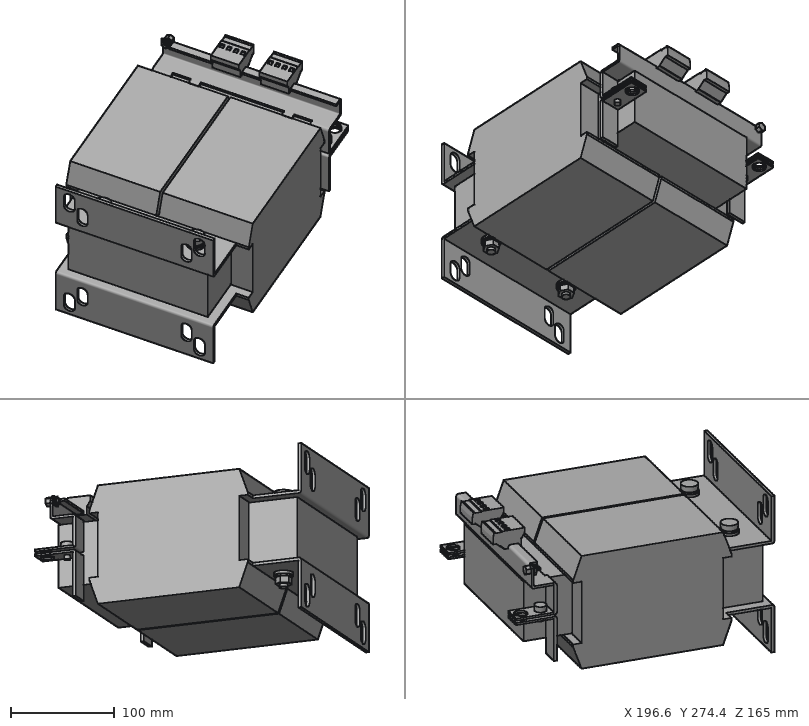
import cadquery as cq

core_half_width = 75.0
core_half_height = 31.5
core_front = -129.0
core_back = 121.0
window_front = -78.5
window_back = 71.5
window_half_width = 25.8

coil_outer_x = 98.3
coil_gap = 2.7
coil_half_height = 59.5
coil_front = -78.0
coil_back = 70.0
coil_overhang = 8.8
lip_bottom = 32.5
lip_thickness = 3.0

overall_height = 165.0
angle_half_width = 84.8
angle_front = -137.2
angle_thickness = 3.3
angle_top = overall_height / 2
angle_bend_radius = 2.7
outer_slot_x = 70.0
outer_slot_z = 66.7
outer_slot_width = 11.8
inner_slot_x = 56.0
inner_slot_z = 53.3
inner_slot_width = 11.3
slot_length = 22.8

bolt_x = 50.2
bolt_y = -104.3
bolt_washer_diameter = 19.0
bolt_washer_thickness = 2.7
bolt_head_diameter = 17.0
bolt_head_height = 6.0
spring_washer_diameter = 16.5
spring_washer_thickness = 2.0
bolt_nut_across_corners = 16.2
bolt_nut_height = 6.5
bolt_diameter = 8.2
bolt_end_z = -50.0

rear_half_width = 95.3
foot_x = (core_half_width + rear_half_width) / 2
rear_back = 137.2
tab_thickness = 2.2
tab_gap_half = 1.24
wall_front = 94.5
wall_thickness = 3.3
lower_wall_bottom = -48.0
tab_hole_y = 128.2
tab_hole_diameter = 13.2
shelf_bottom = 32.0
shelf_thickness = 2.5
shelf_top = shelf_bottom + shelf_thickness
shelf_middle_front = 99.0
shelf_bend_radius = 3.3
rear_bend_radius = 2.2
stub_width = 11.0
stub_front = 95.0

tab_screw_y = 107.5
tab_screw_diameter = 6.0
tab_screw_end_z = -7.5
tab_screw_head_diameter = 12.0
tab_screw_head_height = 5.8

rail_top = 54.5
rail_thickness = 2.5
rail_flange_front = 110.5
rail_flange_left = -84.5
rail_bend_radius = 3.0
rail_root_radius = 1.5

earth_x = -90.9
earth_z = 50.8
earth_head_across_flats = 8.0
earth_head_height = 5.2
earth_clamp_width = 11.3
earth_clamp_thickness = 1.6
earth_nut_thickness = 1.6
earth_screw_diameter = 4.5
earth_screw_end_y = 113.0

terminal_width = 15.0
terminal_pair_starts = (-36.5, 15.6)
terminals_per_pair = 2
pockets_per_terminal = 2
terminal_pocket_y = 120.8
terminal_pocket_length = 4.7
terminal_pocket_width = 3.5
terminal_pocket_spacing = 7.5
terminal_pocket_depth = 1.5
terminal_top = 70.0
terminal_profile = [
    (104.0, terminal_top),
    (127.5, terminal_top),
    (127.6, 69.2),
    (134.0, 69.2),
    (136.0, terminal_top),
    (137.0, 64.2),
    (137.0, 57.6),
    (133.5, 57.6),
    (125.5, 51.3),
    (125.5, 50.8),
    (107.3, 50.8),
    (107.3, 59.0),
    (104.0, 64.2),
]


def block(x_range, y_range, z_range):
    """Box between the given limits along each axis."""
    (x0, x1), (y0, y1), (z0, z1) = x_range, y_range, z_range
    return cq.Workplane("XY").box(x1 - x0, y1 - y0, z1 - z0, centered=False).translate((x0, y0, z0))


def extrude_along_x(points, x_start, x_end):
    """Prism along X from a closed (Y, Z) outline."""
    return cq.Workplane("YZ").workplane(offset=x_start).polyline(points).close().extrude(x_end - x_start)


def cylinder_z(x, y, z_start, z_end, diameter):
    """Upright cylinder between two heights."""
    return cq.Workplane("XY", origin=(x, y, z_start)).circle(diameter / 2).extrude(z_end - z_start)


def both_sides(half):
    """A shape together with its mirror image across the X = 0 plane."""
    return half.union(half.mirror("YZ"))


def make_core():
    z_range = (-core_half_height, core_half_height)
    frame = block((-core_half_width, core_half_width), (core_front, core_back), z_range)
    window = block((-window_half_width, window_half_width), (window_front, window_back), z_range)
    return frame.cut(window)


def make_coils():
    lip_top = lip_bottom + lip_thickness
    upper_edge = [
        (coil_back, lip_bottom),
        (coil_back + coil_overhang, lip_bottom),
        (coil_back + coil_overhang, lip_top),
        (coil_back, coil_half_height),
        (coil_front, coil_half_height),
        (coil_front - coil_overhang, lip_top),
        (coil_front - coil_overhang, lip_bottom),
        (coil_front, lip_bottom),
    ]
    lower_edge = [(y, -z) for y, z in reversed(upper_edge)]
    return both_sides(extrude_along_x(upper_edge + lower_edge, coil_gap / 2, coil_outer_x))


def make_front_angles():
    ledge_top = lip_bottom + lip_thickness
    ledge_back = coil_front - coil_overhang
    flange_back = angle_front + angle_thickness
    outline = [
        (ledge_back, lip_bottom),
        (angle_front, lip_bottom),
        (angle_front, angle_top),
        (flange_back, angle_top),
        (flange_back, ledge_top),
        (ledge_back, ledge_top),
    ]
    angle = extrude_along_x(outline, -angle_half_width, angle_half_width)
    bend = cq.selectors.NearestToPointSelector((0, angle_front, lip_bottom))
    angle = angle.edges(bend).fillet(angle_bend_radius)
    slots = (
        (outer_slot_x, outer_slot_z, outer_slot_width),
        (inner_slot_x, inner_slot_z, inner_slot_width),
    )
    for x, z, width in slots:
        cutter = (
            cq.Workplane("XZ", origin=(0, flange_back, 0))
            .pushPoints([(-x, z), (x, z)])
            .slot2D(slot_length, width, 90)
            .extrude(angle_thickness)
        )
        angle = angle.cut(cutter)
    return angle.union(angle.mirror("XY"))


def make_core_bolt():
    seat = lip_bottom + lip_thickness
    washer_top = seat + bolt_washer_thickness
    head_base = washer_top + spring_washer_thickness
    head_top = head_base + bolt_head_height
    spring_top = -seat - bolt_washer_thickness
    nut_top = spring_top - spring_washer_thickness
    bolt = cylinder_z(bolt_x, bolt_y, bolt_end_z, head_top, bolt_diameter)
    bolt = bolt.union(cylinder_z(bolt_x, bolt_y, seat, washer_top, bolt_washer_diameter))
    bolt = bolt.union(cylinder_z(bolt_x, bolt_y, washer_top, head_base, spring_washer_diameter))
    bolt = bolt.union(cylinder_z(bolt_x, bolt_y, head_base, head_top, bolt_head_diameter))
    bolt = bolt.union(cylinder_z(bolt_x, bolt_y, spring_top, -seat, bolt_washer_diameter))
    bolt = bolt.union(cylinder_z(bolt_x, bolt_y, nut_top, spring_top, spring_washer_diameter))
    nut = (
        cq.Workplane("XY", origin=(bolt_x, bolt_y, nut_top))
        .polygon(6, bolt_nut_across_corners)
        .extrude(-bolt_nut_height)
    )
    return bolt.union(nut)


def make_rear_foot(wall_end_z):
    """Tab and wall beside the core at +X; the wall runs from the tab to wall_end_z."""
    side = 1 if wall_end_z > 0 else -1
    tab_near = side * tab_gap_half
    tab_far = side * (tab_gap_half + tab_thickness)
    wall_back = wall_front + wall_thickness
    outline = [
        (rear_back, tab_near),
        (wall_front, tab_near),
        (wall_front, wall_end_z),
        (wall_back, wall_end_z),
        (wall_back, tab_far),
        (rear_back, tab_far),
    ]
    foot = extrude_along_x(outline, core_half_width, rear_half_width)
    bend = cq.selectors.NearestToPointSelector((foot_x, wall_front, tab_near))
    foot = foot.edges(bend).fillet(rear_bend_radius)
    hole = cylinder_z(foot_x, tab_hole_y, tab_near, tab_far, tab_hole_diameter)
    return foot.cut(hole)


def make_tab_screw():
    head_base = tab_gap_half + tab_thickness
    head_top = head_base + tab_screw_head_height
    shank = cylinder_z(foot_x, tab_screw_y, tab_screw_end_z, head_top, tab_screw_diameter)
    head = cylinder_z(foot_x, tab_screw_y, head_base, head_top, tab_screw_head_diameter)
    return shank.union(head)


def make_rear_brackets():
    upper_foot = make_rear_foot(shelf_top)
    shelf_end = block(
        (core_half_width, rear_half_width),
        (wall_front, core_back),
        (shelf_bottom, shelf_top),
    )
    shelf_bend = cq.selectors.NearestToPointSelector((foot_x, wall_front, shelf_top))
    upper_foot = upper_foot.union(shelf_end).edges(shelf_bend).fillet(shelf_bend_radius)
    stub = block(
        (bolt_x - stub_width / 2, bolt_x + stub_width / 2),
        (stub_front, shelf_middle_front),
        (shelf_bottom, shelf_top),
    )
    stub = stub.edges("|X and <Y and >Z").fillet(rear_bend_radius)
    shelf = block(
        (-core_half_width, core_half_width),
        (shelf_middle_front, core_back),
        (shelf_bottom, shelf_top),
    )
    side_parts = upper_foot.union(make_rear_foot(lower_wall_bottom)).union(stub).union(make_tab_screw())
    return shelf.union(both_sides(side_parts))


def make_rail():
    """Upright with a flange bent forward at the top; the flange is cut away at its left end."""
    rail_inner = core_back - rail_thickness
    outline = [
        (core_back, shelf_bottom),
        (core_back, rail_top),
        (rail_flange_front, rail_top),
        (rail_flange_front, rail_top - rail_thickness),
        (rail_inner, rail_top - rail_thickness),
        (rail_inner, shelf_bottom),
    ]
    rail = extrude_along_x(outline, -rear_half_width, rear_half_width)
    rail = rail.edges("|X and >Y and >Z").fillet(rail_bend_radius)
    flange_notch = block(
        (-rear_half_width, rail_flange_left),
        (rail_flange_front, rail_inner),
        (shelf_top, rail_top),
    )
    return rail.cut(flange_notch)


def make_rear_assembly():
    """Rear brackets and rail as one bent sheet, rounded where the shelf turns up into the rail."""
    sheet = make_rear_brackets().union(make_rail())
    outer_bend = cq.selectors.NearestToPointSelector((0, core_back, shelf_bottom))
    sheet = sheet.edges(outer_bend).fillet(rear_bend_radius)
    root = cq.selectors.NearestToPointSelector((0, core_back - rail_thickness, shelf_top))
    return sheet.edges(root).fillet(rail_root_radius)


def make_earth_screw():
    clamp_back = core_back - rail_thickness
    half_width = earth_clamp_width / 2
    half_height = earth_head_across_flats / 2
    clamp = block(
        (earth_x - half_width, earth_x + half_width),
        (clamp_back - earth_clamp_thickness, clamp_back),
        (earth_z - half_height, earth_z + half_height),
    )
    axis_start = cq.Workplane("XZ", origin=(earth_x, core_back, earth_z))
    head = axis_start.polygon(6, earth_head_across_flats, circumscribed=True).extrude(-earth_head_height)
    shank = axis_start.circle(earth_screw_diameter / 2).extrude(core_back - earth_screw_end_y)
    nut = (
        cq.Workplane("XZ", origin=(earth_x, clamp_back - earth_clamp_thickness, earth_z))
        .polygon(6, earth_head_across_flats, circumscribed=True)
        .extrude(earth_nut_thickness)
    )
    return clamp.union(head).union(shank).union(nut)


def make_terminal(x_start):
    body = extrude_along_x(terminal_profile, x_start, x_start + terminal_width)
    middle = x_start + terminal_width / 2
    pockets = (
        cq.Workplane("XY", origin=(middle, terminal_pocket_y, terminal_top))
        .rarray(terminal_pocket_spacing, 2.7, pockets_per_terminal, 1)
        .rect(terminal_pocket_width, terminal_pocket_length)
        .extrude(-terminal_pocket_depth)
    )
    return body.cut(pockets)


result = make_core().union(make_coils()).union(make_front_angles())
result = result.union(both_sides(make_core_bolt()))
result = result.union(make_rear_assembly()).union(make_earth_screw())
for pair_start in terminal_pair_starts:
    for index in range(terminals_per_pair):
        result = result.union(make_terminal(pair_start + index * terminal_width))